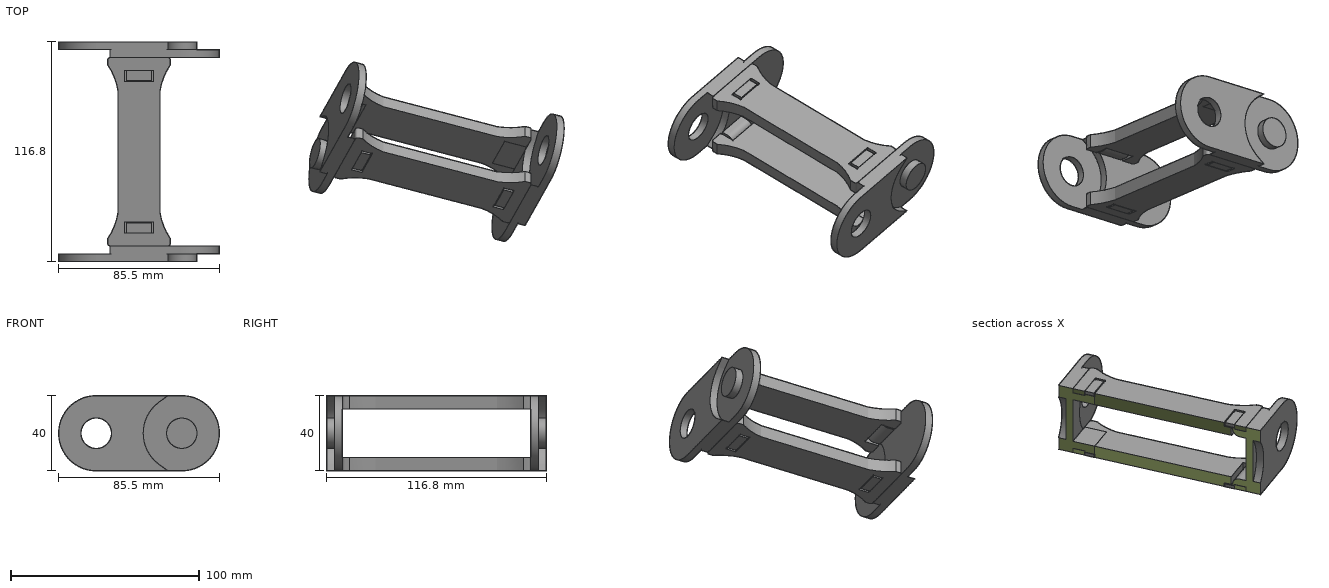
import cadquery as cq
import math

overall_length = 85.5
overall_width = 116.8
link_height = 40.0
layer_thickness = 4.2

end_radius = link_height / 2
pivot_x = overall_length / 2 - end_radius
plate_outer_y = overall_width / 2
plate_step_y = plate_outer_y - layer_thickness
plate_inner_y = plate_step_y - layer_thickness

pivot_radius = 8.0
relief_clearance = 0.5
relief_radius = end_radius + relief_clearance
relief_tangent_z = 16.6

bar_thickness = 7.2
bar_half_width = 11.2
bar_end_half_width = 16.7
bar_corner_radius = 1.4
flare_start = 3.9
flare_end = 17.6
flare_radius = 32.7

catch_half_width = 6.5
window_half_width = 7.8
notch_half_width = 9.1
notch_depth = 4.7
window_start = 6.8
window_end = 12.6
catch_base_height = 0.7
catch_end_gap = 0.5

hinge_notch_length = window_end
latch_notch_length = 8.4
latch_half_width = 7.8
latch_length = 7.9
latch_recess = 0.2

bar_outer_z = link_height / 2
bar_inner_z = bar_outer_z - bar_thickness
notch_floor_z = bar_inner_z + notch_depth


def block(half_width, y_range, z_range):
    """Box centred on X = 0 that spans the given Y and Z ranges."""
    length = y_range[1] - y_range[0]
    height = z_range[1] - z_range[0]
    return (
        cq.Workplane("XY", origin=(0, y_range[0], z_range[0]))
        .box(2 * half_width, length, height, centered=(True, False, False))
    )


def plate_layer(inner_face_y):
    """Layer with a round end at -X and a concave relief around the +X pivot."""
    tangent_offset = math.sqrt(relief_radius ** 2 - relief_tangent_z ** 2)
    tangent_x = pivot_x - tangent_offset
    corner_x = tangent_x + (end_radius - relief_tangent_z) * relief_tangent_z / tangent_offset
    return (
        cq.Workplane("XZ", origin=(0, inner_face_y, 0))
        .moveTo(-pivot_x, end_radius)
        .lineTo(corner_x, end_radius)
        .lineTo(tangent_x, relief_tangent_z)
        .threePointArc((pivot_x - relief_radius, 0), (tangent_x, -relief_tangent_z))
        .lineTo(corner_x, -end_radius)
        .lineTo(-pivot_x, -end_radius)
        .threePointArc((-pivot_x - end_radius, 0), (-pivot_x, end_radius))
        .close()
        .extrude(-layer_thickness)
    )


def pivot_cylinder(x):
    """Cylinder through the outer layer, for the pin and for the hole."""
    return (
        cq.Workplane("XZ", origin=(x, plate_step_y, 0))
        .circle(pivot_radius)
        .extrude(-layer_thickness)
    )


def notch_shape(length):
    """Space of a notch on the inner side of the upper bar, open at the +Y end."""
    return block(notch_half_width, (plate_inner_y - length, plate_inner_y), (bar_inner_z, notch_floor_z))


def make_hinge_tongue():
    """Flat tongue that fills its notch, for the upper bar."""
    return notch_shape(hinge_notch_length)


def make_latch_tongue():
    """Tongue with a quarter-round nose, for the upper bar."""
    inner_z = bar_inner_z + latch_recess
    nose_radius = notch_floor_z - inner_z
    nose_tip_y = plate_inner_y - latch_length
    nose_start_y = nose_tip_y + nose_radius
    nose_mid = nose_radius * math.sqrt(0.5)
    return (
        cq.Workplane("YZ", origin=(-latch_half_width, 0, 0))
        .moveTo(plate_inner_y, inner_z)
        .lineTo(nose_start_y, inner_z)
        .threePointArc((nose_start_y - nose_mid, notch_floor_z - nose_mid), (nose_tip_y, notch_floor_z))
        .lineTo(plate_inner_y, notch_floor_z)
        .close()
        .extrude(2 * latch_half_width)
    )


def make_catch():
    """Catch on the tongue, with a wider foot that fills the bottom of the window."""
    foot_top_z = notch_floor_z + catch_base_height
    window_y = (plate_inner_y - window_end, plate_inner_y - window_start)
    catch_y = (window_y[0] + catch_end_gap, window_y[1])
    foot = block(window_half_width, window_y, (notch_floor_z, foot_top_z))
    return foot.union(block(catch_half_width, catch_y, (foot_top_z, bar_outer_z)))


def make_side_plate(tongue):
    """Side plate at +Y with its pin and hole, and with the given tongue for each bar."""
    outer_layer = plate_layer(plate_step_y).cut(pivot_cylinder(-pivot_x))
    inner_layer = plate_layer(plate_inner_y).mirror("YZ")
    plate = outer_layer.union(inner_layer).union(pivot_cylinder(pivot_x))
    joint = tongue.union(make_catch())
    return plate.union(joint).union(joint.mirror("XY"))


def make_cross_bar():
    """Upper cross bar, flared at both ends, with a notch and a window at each end."""
    flare_start_y = plate_inner_y - flare_start
    flare_end_y = plate_inner_y - flare_end
    bar = (
        cq.Workplane("XY", origin=(0, 0, bar_inner_z))
        .moveTo(-bar_end_half_width, plate_inner_y)
        .lineTo(bar_end_half_width, plate_inner_y)
        .lineTo(bar_end_half_width, flare_start_y)
        .radiusArc((bar_half_width, flare_end_y), -flare_radius)
        .lineTo(bar_half_width, -flare_end_y)
        .radiusArc((bar_end_half_width, -flare_start_y), -flare_radius)
        .lineTo(bar_end_half_width, -plate_inner_y)
        .lineTo(-bar_end_half_width, -plate_inner_y)
        .lineTo(-bar_end_half_width, -flare_start_y)
        .radiusArc((-bar_half_width, -flare_end_y), -flare_radius)
        .lineTo(-bar_half_width, flare_end_y)
        .radiusArc((-bar_end_half_width, flare_start_y), -flare_radius)
        .close()
        .extrude(bar_thickness)
    )
    bar = bar.faces(">Y or <Y").edges("|Z").fillet(bar_corner_radius)

    latch_notch = notch_shape(latch_notch_length)
    hinge_notch = notch_shape(hinge_notch_length).mirror("XZ")
    window_y = (plate_inner_y - window_end, plate_inner_y - window_start)
    window = block(window_half_width, window_y, (notch_floor_z, bar_outer_z))
    return bar.cut(latch_notch).cut(hinge_notch).cut(window).cut(window.mirror("XZ"))


latch_plate = make_side_plate(make_latch_tongue())
hinge_plate = make_side_plate(make_hinge_tongue()).mirror("XZ")
upper_bar = make_cross_bar()
cross_bars = [upper_bar, upper_bar.mirror("XY")]

solids = []
for body in (latch_plate, hinge_plate, *cross_bars):
    solids.extend(body.solids().vals())

result = cq.Compound.makeCompound(solids)